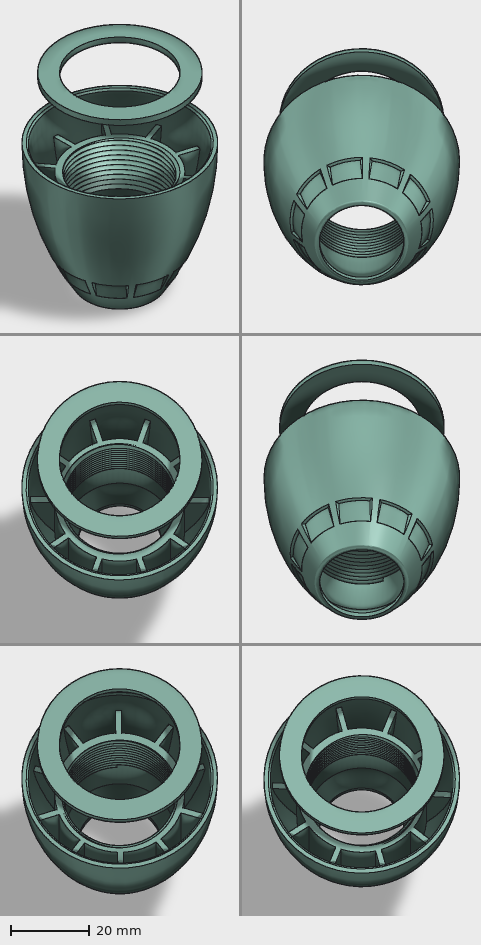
import cadquery as cq
import math

total_height = 66.1

washer_diameter = 42.0
washer_bore = 30.75
washer_thickness = 1.8

cup_height = 44.2
rim_radius = 25.0
wall_curve_radius = 80.0
wall = 1.65
rim_flat = 1.1
floor_hole_radius = 10.8
floor_thickness = 0.9
foot_round = 1.0

division_count = 10
division_angle = 360 / division_count
sleeve_top = cup_height - 9.25
sleeve_radius = 16.6
bore_radius = 14.3
thread_crest_radius = bore_radius + 0.05
thread_root_radius = 15.35
thread_pitch = 1.5
thread_turns = 12
thread_bottom = sleeve_top - (thread_turns - 1) * thread_pitch
thread_start_angle = 200
rib_thickness = 1.5

pocket_bottom = 6.15
pocket_top = 11.9
pocket_bottom_radius = 15.35
pocket_top_radius = 17.5
pocket_half_width = 3.9
pocket_side_flare = 1.5
pocket_top_flare = 0.25

pocket_reach = 3.3

half_plane = cq.Plane((0, 0, 0), (0, -1, 0), (-1, 0, 0))


def wall_radius(height, inset):
    """Radius of the cup at a height, on the arc that lies inset inside the outer one."""
    arc_radius = wall_curve_radius - inset
    drop = cup_height - height
    return rim_radius - wall_curve_radius + math.sqrt(arc_radius**2 - drop**2)


def domed_solid(inset):
    """Solid of revolution inside the arc that lies inset inside the outer one."""
    middle = cup_height / 2
    return (
        cq.Workplane(half_plane)
        .lineTo(wall_radius(0, inset), 0)
        .threePointArc((wall_radius(middle, inset), middle), (rim_radius - inset, cup_height))
        .lineTo(0, cup_height)
        .close()
        .revolve(360, (0, 0), (0, 1))
    )


def outer_solid():
    return domed_solid(0).faces("<Z").edges().fillet(foot_round)


def cavity():
    """Inside of the cup, down to a flat floor."""
    below = cq.Workplane("XY").circle(rim_radius).extrude(floor_thickness)
    return domed_solid(wall).cut(below)


def rim_chamfer():
    """Cone that bevels the inner edge of the rim at 45 degrees."""
    flat_inner_radius = rim_radius - rim_flat
    return cq.Workplane("XY").add(
        cq.Solid.makeCone(0, flat_inner_radius, flat_inner_radius, cq.Vector(0, 0, cup_height - flat_inner_radius))
    )


def helix_turn(radius, height):
    """One right-handed turn of the thread, starting on the +X side."""
    wire = cq.Wire.makeHelix(thread_pitch, thread_pitch, radius, center=cq.Vector(0, 0, height))
    return wire.Edges()[0]


def thread_rod():
    """Solid screw with a sharp V thread, rising from the plain bore past the sleeve top."""
    half_pitch = thread_pitch / 2
    top = thread_turns * thread_pitch
    faces = []
    for turn in range(thread_turns):
        height = turn * thread_pitch
        lower_crest = helix_turn(thread_crest_radius, height)
        root = helix_turn(thread_root_radius, height + half_pitch)
        upper_crest = helix_turn(thread_crest_radius, height + thread_pitch)
        faces.append(cq.Face.makeRuledSurface(lower_crest, root))
        faces.append(cq.Face.makeRuledSurface(root, upper_crest))

    for height in (0, top):
        low_centre = cq.Vector(0, 0, height)
        high_centre = cq.Vector(0, 0, height + thread_pitch)
        step_outline = [
            low_centre,
            cq.Vector(thread_crest_radius, 0, height),
            cq.Vector(thread_root_radius, 0, height + half_pitch),
            cq.Vector(thread_crest_radius, 0, height + thread_pitch),
            high_centre,
        ]
        axis = cq.Edge.makeLine(low_centre, high_centre)
        faces.append(cq.Face.makeRuledSurface(axis, helix_turn(thread_crest_radius, height)))
        faces.append(cq.Face.makeFromWires(cq.Wire.makePolygon(step_outline, close=True)))

    screw = cq.Solid.makeSolid(cq.Shell.makeShell(faces)).fix()
    return (
        cq.Workplane("XY")
        .add(screw)
        .rotate((0, 0, 0), (0, 0, 1), thread_start_angle)
        .translate((0, 0, thread_bottom))
    )


def hollow():
    """Air inside the cup: the cavity less the plain sleeve and its radial ribs."""
    sleeve = cq.Workplane("XY").circle(sleeve_radius).circle(bore_radius).extrude(sleeve_top)
    rib_start = (sleeve_radius + bore_radius) / 2
    rib_length = rim_radius - rib_start
    rib = (
        cq.Workplane("XY")
        .center(rib_start + rib_length / 2, 0)
        .rect(rib_length, rib_thickness)
        .extrude(sleeve_top)
    )
    air = cavity().cut(sleeve)
    for index in range(division_count):
        angle = (index + 0.5) * division_angle
        air = air.cut(rib.rotate((0, 0, 0), (0, 0, 1), angle))
    return air


def pocket_tool():
    """Cutter on the +X side: conical floor, flared top and flared sides."""
    top_rise = pocket_top_flare * pocket_reach
    ring = (
        cq.Workplane("XZ")
        .polyline([
            (pocket_bottom_radius, pocket_bottom),
            (pocket_top_radius, pocket_top),
            (pocket_top_radius + pocket_reach, pocket_top + top_rise),
            (pocket_top_radius + pocket_reach, pocket_bottom),
        ])
        .close()
        .revolve(division_angle * 2, (0, 0), (0, 1))
        .rotate((0, 0, 0), (0, 0, 1), -division_angle)
    )
    rise = cq.Vector(pocket_top_radius - pocket_bottom_radius, 0, pocket_top - pocket_bottom)
    edge_radius = math.sqrt(pocket_bottom_radius**2 - pocket_half_width**2)
    floor_edge = cq.Plane((edge_radius, 0, pocket_bottom), (0, 1, 0), rise.normalized().toTuple())
    wide = pocket_half_width + pocket_side_flare * pocket_reach
    side_walls = (
        cq.Workplane(floor_edge)
        .polyline([
            (-pocket_half_width, 0),
            (-wide, -pocket_reach),
            (wide, -pocket_reach),
            (pocket_half_width, 0),
        ])
        .close()
        .extrude(2 * rise.Length, both=True)
    )
    return ring.intersect(side_walls)


def make_cup():
    hole = cq.Workplane("XY").circle(floor_hole_radius).extrude(cup_height)
    cup = outer_solid().cut(hollow()).cut(rim_chamfer()).cut(hole).cut(thread_rod())
    tool = pocket_tool()
    for index in range(division_count):
        cup = cup.cut(tool.rotate((0, 0, 0), (0, 0, 1), index * division_angle))
    return cup


def make_washer():
    return (
        cq.Workplane("XY", origin=(0, 0, total_height - washer_thickness))
        .circle(washer_diameter / 2)
        .circle(washer_bore / 2)
        .extrude(washer_thickness)
    )


cup = make_cup()
washer = make_washer()
result = cq.Compound.makeCompound([cup.val(), washer.val()])